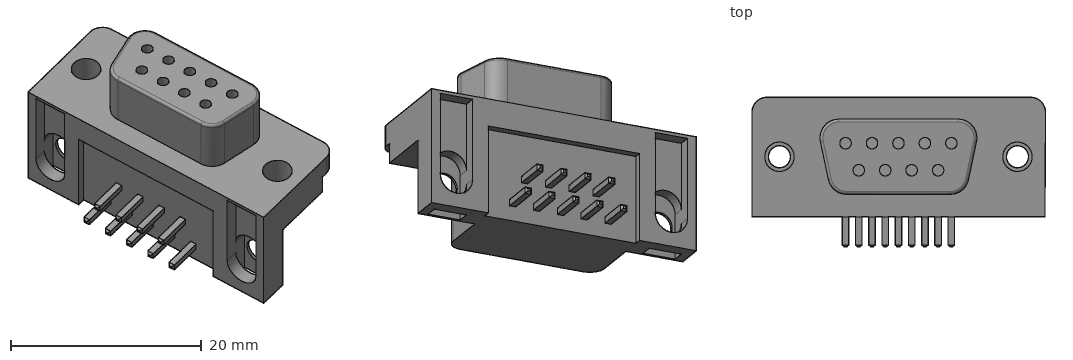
import cadquery as cq


left_x = -15.37
right_front_x = 15.37
right_corner_x = 15.45
flange_top = 12.95
flange_thickness = 2.4
flange_depth = 12.57
flange_corner_radius = 1.6
body_depth = 10.32
notch_top = 8.32
ear_thickness = 3.35
block_half_width = 8.78
block_corner_radius = 1.7
recess_depth = 0.9
recess_top = 9.85

mount_x = 12.48
bore_y = 6.32
bore_diameter = 2.28
counterbore_diameter = 3.08
counterbore_depth = 3.7
slot_width = 3.73
slot_top = 12.57
slot_depth = 1.5
arch_depth = 3.02
board_hole_z = 3.45
board_hole_diameter = 3.05
arch_top = 6.9

overall_height = 19.07
shell_corner_radius = 1.97
shell_front_y = 2.37
shell_back_y = 10.25
front_corner_x = 5.42
back_corner_x = 6.25
shell_edge_fillet = 0.3

contact_pitch = 2.77
long_row_count = 5
short_row_count = 4
socket_diameter = 1.2
socket_depth = 4.62
long_row_socket_y = 7.73
short_row_socket_y = 4.9
pin_width = 0.7
pin_length = 3.15
pin_tip_chamfer = 0.22
long_row_pin_z = 2.0
short_row_pin_z = 4.87


def row_positions(count):
    """X positions of a contact row centered on X = 0."""
    return [(i - (count - 1) / 2) * contact_pitch for i in range(count)]


def housing_slab(depth, bottom, top):
    """Full-width slab from the pin face back to the given depth."""
    corner_start = flange_depth - flange_corner_radius
    right_x = right_front_x + (right_corner_x - right_front_x) * depth / corner_start
    return (
        cq.Workplane("XY", origin=(0, 0, bottom))
        .polyline([(left_x, 0), (right_front_x, 0), (right_x, depth), (left_x, depth)])
        .close()
        .extrude(top - bottom)
    )


def box_between(x_range, y_range, z_range):
    """Box spanning the given coordinate ranges."""
    size = [high - low for low, high in (x_range, y_range, z_range)]
    corner = (x_range[0], y_range[0], z_range[0])
    return cq.Workplane("XY").box(*size, centered=False).translate(corner)


def cylinder_y(x, z, diameter, depth):
    """Cylinder running from the pin face toward +Y."""
    return cq.Workplane("XZ", origin=(x, 0, z)).circle(diameter / 2).extrude(-depth)


def make_housing():
    flange_bottom = flange_top - flange_thickness
    flange = housing_slab(flange_depth, flange_bottom, flange_top)
    flange = flange.edges("|Z and >Y").fillet(flange_corner_radius)
    body = housing_slab(body_depth, notch_top, flange_top)
    ears = housing_slab(ear_thickness, 0, notch_top)
    block_x = (-block_half_width, block_half_width)
    block = box_between(block_x, (0, body_depth), (0, notch_top))
    block = block.edges("|Z and >Y").fillet(block_corner_radius)
    recess = box_between(block_x, (0, recess_depth), (0, recess_top))
    return flange.union(body).union(ears).union(block).cut(recess)


def make_mount_cutter(x):
    """Bore through the flange, board-lock slot, arched pocket and board hole of one ear."""
    bore = (
        cq.Workplane("XY", origin=(x, bore_y, flange_top))
        .circle(bore_diameter / 2)
        .extrude(notch_top - flange_top)
    )
    counterbore = (
        cq.Workplane("XY", origin=(x, bore_y, flange_top))
        .circle(counterbore_diameter / 2)
        .extrude(-counterbore_depth)
    )
    slot_radius = slot_width / 2
    slot_x = (x - slot_radius, x + slot_radius)
    slot = box_between(slot_x, (0, slot_depth), (board_hole_z, slot_top))
    slot = slot.union(cylinder_y(x, board_hole_z, slot_width, slot_depth))
    arch_center_z = arch_top - slot_radius
    arch = cylinder_y(x, arch_center_z, slot_width, arch_depth)
    arch = arch.union(box_between(slot_x, (slot_depth, arch_depth), (0, arch_center_z)))
    board_hole = cylinder_y(x, board_hole_z, board_hole_diameter, ear_thickness)
    return bore.union(counterbore).union(slot).union(arch).union(board_hole)


def make_shell():
    front_center_y = shell_front_y + shell_corner_radius
    back_center_y = shell_back_y - shell_corner_radius
    corner_centers = [
        (-front_corner_x, front_center_y),
        (front_corner_x, front_center_y),
        (back_corner_x, back_center_y),
        (-back_corner_x, back_center_y),
    ]
    return (
        cq.Workplane("XY", origin=(0, 0, flange_top))
        .polyline(corner_centers)
        .close()
        .offset2D(shell_corner_radius, "arc")
        .extrude(overall_height - flange_top)
        .faces(">Z")
        .edges()
        .fillet(shell_edge_fillet)
    )


def make_sockets():
    points = [(x, long_row_socket_y) for x in row_positions(long_row_count)]
    points += [(x, short_row_socket_y) for x in row_positions(short_row_count)]
    return (
        cq.Workplane("XY", origin=(0, 0, overall_height))
        .pushPoints(points)
        .circle(socket_diameter / 2)
        .extrude(-socket_depth)
    )


def make_pin(x, z):
    """Square pin from the recess floor to its chamfered tip."""
    half = pin_width / 2
    pin = box_between((x - half, x + half), (-pin_length, recess_depth), (z - half, z + half))
    return pin.faces("<Y").edges().chamfer(pin_tip_chamfer)


result = make_housing().union(make_shell()).cut(make_sockets())

for mount_side in (-1, 1):
    result = result.cut(make_mount_cutter(mount_side * mount_x))

for row_count, pin_z in ((long_row_count, long_row_pin_z), (short_row_count, short_row_pin_z)):
    for pin_x in row_positions(row_count):
        result = result.union(make_pin(pin_x, pin_z))